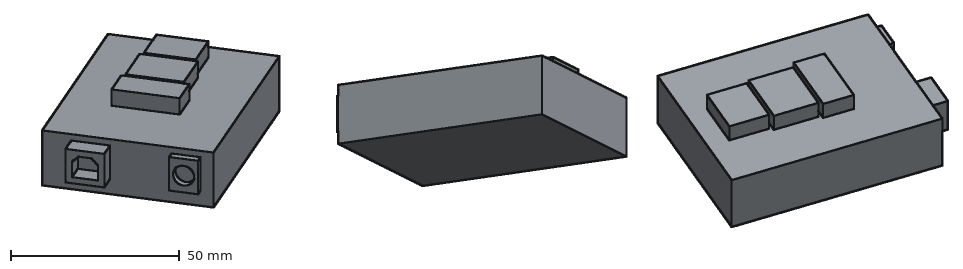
import cadquery as cq

case_width = 53.0
total_length = 74.5
total_height = 23.5
case_height = 18.1
usb_reach = 5.95
case_length = total_length - usb_reach

lid_blocks = [(21.0, 10.0), (18.0, 14.5), (16.0, 13.0)]
lid_block_height = total_height - case_height
lid_left = 15.0
lid_left_step = 1.05
lid_front_y = 22.0
lid_gap = 1.05

housing_height = 11.0
housing_base_z = 5.0
housing_center_z = housing_base_z + housing_height / 2

usb_left = 9.0
usb_width = 12.0
usb_socket_width = 8.0
usb_socket_height = 7.0
usb_socket_chamfer = 2.0
usb_socket_depth = usb_reach

power_left = 40.0
power_width = 8.95
power_reach = 2.5
power_bore_diameter = 6.5
power_bore_depth = power_reach


def front_housing(left, width, reach):
    """Box standing out from the front face of the case."""
    return cq.Workplane("XY").box(width, reach, housing_height, centered=False).translate(
        (left, -reach, housing_base_z)
    )


def front_sketch(center_x, reach):
    """Sketch plane on the front of a housing; extruding negatively cuts into it."""
    return cq.Workplane("XZ", origin=(center_x, -reach, housing_center_z))


result = cq.Workplane("XY").box(case_width, case_length, case_height, centered=False)

block_left = lid_left
block_front_y = lid_front_y
for block_width, block_length in lid_blocks:
    block = cq.Workplane("XY").box(block_width, block_length, lid_block_height, centered=False)
    result = result.union(block.translate((block_left, block_front_y, case_height)))
    block_left += lid_left_step
    block_front_y += block_length + lid_gap

usb_socket = (
    front_sketch(usb_left + usb_width / 2, usb_reach)
    .rect(usb_socket_width, usb_socket_height)
    .extrude(-usb_socket_depth)
    .edges("|Y and >Z")
    .chamfer(usb_socket_chamfer)
)
result = result.union(front_housing(usb_left, usb_width, usb_reach)).cut(usb_socket)

power_bore = (
    front_sketch(power_left + power_width / 2, power_reach)
    .circle(power_bore_diameter / 2)
    .extrude(-power_bore_depth)
)
result = result.union(front_housing(power_left, power_width, power_reach)).cut(power_bore)